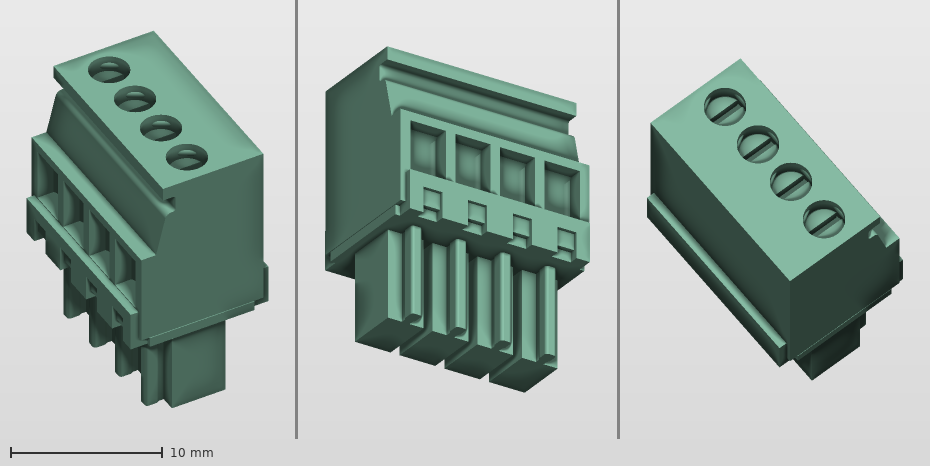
import cadquery as cq
import math


poles = 4
pitch = 3.5
pole_centres = [(i - (poles - 1) / 2) * pitch for i in range(poles)]

total_height = 19.55
base_bottom = 6.57
end_plate_top = 7.3
body_bottom = 7.35
base_top = 9.5

body_length = 14.8
body_depth = 9.23
body_front = -body_depth / 2
body_back = body_depth / 2

step_height = 14.15
slope_foot_y = -3.5
slope_angle = 14.0
shoulder_height = 17.32
shoulder_radius = 0.49
groove_wall_y = -2.01
groove_radius = 0.22
lip_bottom = 18.57
lip_front = -2.97

tray_length = 14.05
tray_depth = 10.4
tray_front = -tray_depth / 2
end_plate_depth = 7.9

notch_width = 1.49
notch_top = 8.48
notch_depth = 0.3
notch_step_height = 7.3
notch_lower_depth = 0.7

pocket_width = 2.75
pocket_floor = 9.58
pocket_top = 13.5
pocket_depth = 1.37
pocket_round = 0.6
pocket_back_width = 2.0
pocket_back_top = 12.98

screw_y = 0.04
screw_hole_diameter = 2.8
screw_diameter = 2.65
screw_chamfer = 0.1
screw_top_depth = 1.08
slot_width = 0.59
slot_depth = 0.78
screw_hole_depth = screw_top_depth + slot_depth

bump_angles = [30.0, 150.0, 270.0]
bump_radius = 0.27
bump_axis_offset = 1.52
bump_depth = 0.76
bump_length = 1.49

pin_width = 2.8
pin_front = -1.88
pin_back = 2.17
rib_tip = -3.28
rib_neck_end = -2.25
rib_flare_end = -2.45
rib_neck_half = 0.3
rib_half = 0.41
rib_tip_radius = 0.22


def block(width, y_front, y_back, z_bottom, z_top, x_centre=0.0):
    """Box centred on x_centre, given by its Y and Z limits."""
    return (
        cq.Workplane("XY", origin=(x_centre, 0, z_bottom))
        .moveTo(0, (y_front + y_back) / 2)
        .rect(width, y_back - y_front)
        .extrude(z_top - z_bottom)
    )


def housing_body():
    """Side profile with finger groove and sloped front, drawn in YZ and extruded along X."""
    slope = math.radians(slope_angle)
    slope_top_y = slope_foot_y + (shoulder_height - step_height) * math.tan(slope)
    profile = (
        cq.Workplane("YZ")
        .polyline([
            (body_back, body_bottom),
            (body_back, total_height),
            (lip_front, total_height),
            (lip_front, lip_bottom),
            (groove_wall_y, lip_bottom),
            (groove_wall_y, shoulder_height),
            (slope_top_y, shoulder_height),
            (slope_foot_y, step_height),
            (body_front, step_height),
            (body_front, body_bottom),
        ])
        .close()
        .extrude(body_length / 2, both=True)
    )

    def edge_at(y, z):
        margin = 0.04
        return cq.selectors.BoxSelector(
            (-margin, y - margin, z - margin),
            (margin, y + margin, z + margin),
        )

    profile = profile.edges(edge_at(groove_wall_y, lip_bottom)).fillet(groove_radius)
    profile = profile.edges(edge_at(groove_wall_y, shoulder_height)).fillet(groove_radius)
    return profile.edges(edge_at(slope_top_y, shoulder_height)).fillet(shoulder_radius)


def base():
    """Tray around the foot of the body, with a lower plate flush with the body ends."""
    tray = block(tray_length, tray_front, -tray_front, base_bottom, base_top)
    half_depth = end_plate_depth / 2
    end_plate = block(body_length, -half_depth, half_depth, base_bottom, end_plate_top)
    return tray.union(end_plate)


def coding_notch(x):
    """Shallow notch that deepens below the step, open at the underside of the tray."""
    upper = block(notch_width, tray_front, tray_front + notch_depth, base_bottom, notch_top, x)
    lower_back = tray_front + notch_lower_depth
    lower = block(notch_width, tray_front, lower_back, base_bottom, notch_step_height, x)
    return upper.union(lower)


def wire_pocket(x):
    """Pocket whose sides and roof curve into its back wall; the floor is flat."""
    back = body_front + pocket_depth
    back_half = pocket_back_width / 2
    half = pocket_width / 2

    def arc_rise(inset):
        return pocket_round - math.sqrt(pocket_round**2 - inset**2)

    side_y = back - arc_rise(half - back_half)
    roof_y = back - arc_rise(pocket_top - pocket_back_top)
    plan = (
        cq.Workplane("XY", origin=(x, 0, pocket_floor))
        .moveTo(-half, body_front)
        .lineTo(half, body_front)
        .lineTo(half, side_y)
        .radiusArc((back_half, back), -pocket_round)
        .lineTo(-back_half, back)
        .radiusArc((-half, side_y), -pocket_round)
        .close()
        .extrude(pocket_top - pocket_floor)
    )
    side = (
        cq.Workplane("YZ", origin=(x, 0, 0))
        .moveTo(body_front, pocket_floor)
        .lineTo(back, pocket_floor)
        .lineTo(back, pocket_back_top)
        .radiusArc((roof_y, pocket_top), -pocket_round)
        .lineTo(body_front, pocket_top)
        .close()
        .extrude(half, both=True)
    )
    return plan.intersect(side)


def screw_hole(x):
    return (
        cq.Workplane("XY", origin=(x, screw_y, total_height - screw_hole_depth))
        .circle(screw_hole_diameter / 2)
        .extrude(screw_hole_depth)
    )


def screw_head(x):
    """Slotted head standing on the bottom of its hole."""
    bottom = total_height - screw_hole_depth
    head = (
        cq.Workplane("XY", origin=(x, screw_y, bottom))
        .circle(screw_diameter / 2)
        .extrude(slot_depth)
        .faces(">Z")
        .chamfer(screw_chamfer)
    )
    slot = block(
        slot_width, screw_y - screw_diameter / 2, screw_y + screw_diameter / 2,
        bottom, bottom + slot_depth, x,
    )
    return head.cut(slot)


def retaining_bump(x, angle_degrees):
    """Horizontal rod half sunk in the hole wall, lying along the tangent."""
    angle = math.radians(angle_degrees)
    outward = cq.Vector(math.cos(angle), math.sin(angle), 0)
    tangent = cq.Vector(-math.sin(angle), math.cos(angle), 0)
    hole_axis = cq.Vector(x, screw_y, total_height - bump_depth)
    start = hole_axis + outward * bump_axis_offset - tangent * (bump_length / 2)
    return cq.Workplane(cq.Solid.makeCylinder(bump_radius, bump_length, start, tangent))


def contact_pin(x):
    """Rectangular pin with a flared keying rib on its front."""
    right_side = [
        (rib_neck_half, pin_front),
        (rib_neck_half, rib_neck_end),
        (rib_half, rib_flare_end),
        (rib_half, rib_tip),
    ]
    left_side = [(-half_width, y) for half_width, y in reversed(right_side)]
    rib = (
        cq.Workplane("XY", origin=(x, 0, 0))
        .polyline(right_side + left_side)
        .close()
        .extrude(base_bottom)
        .faces("<Y")
        .edges("|Z")
        .fillet(rib_tip_radius)
    )
    return block(pin_width, pin_front, pin_back, 0, base_bottom, x).union(rib)


result = housing_body().union(base())
for pole_x in pole_centres:
    result = (
        result.cut(coding_notch(pole_x))
        .cut(wire_pocket(pole_x))
        .cut(screw_hole(pole_x))
        .union(screw_head(pole_x))
        .union(contact_pin(pole_x))
    )
    for angle_degrees in bump_angles:
        result = result.union(retaining_bump(pole_x, angle_degrees))